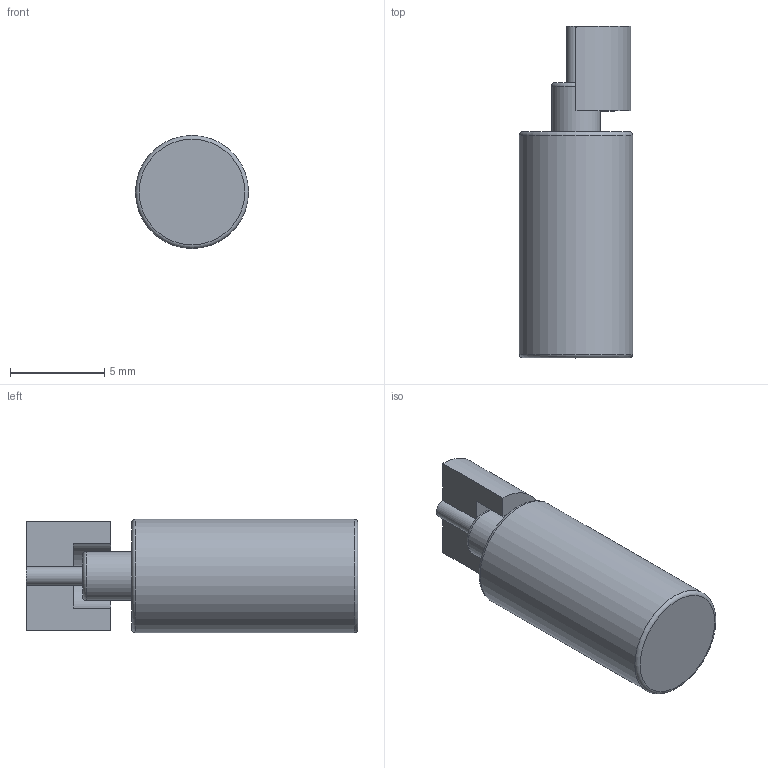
import cadquery as cq

body_diameter = 6.0
body_length = 12.0
body_edge_radius = 0.2

boss_diameter = 2.6
boss_length = 2.6
boss_edge_radius = 0.2

shaft_diameter = 1.0
overall_length = 17.6

weight_diameter = 5.8
weight_length = 4.5
recess_diameter = 3.4
recess_depth = 2.0

weight_start = overall_length - weight_length


def cylinder(diameter, start, length):
    """Cylinder on the Y axis from Y = start towards +Y."""
    front_plane = cq.Workplane("XZ", origin=(0, start, 0))
    return front_plane.circle(diameter / 2).extrude(-length)


def motor_body():
    return cylinder(body_diameter, 0, body_length).edges("%CIRCLE").fillet(body_edge_radius)


def bearing_boss():
    boss = cylinder(boss_diameter, body_length, boss_length)
    return boss.faces(">Y").edges().fillet(boss_edge_radius)


def shaft():
    return cylinder(shaft_diameter, body_length, overall_length - body_length)


def eccentric_weight():
    """Half cylinder on the +X side, recessed at the back to clear the boss."""
    half_space = cq.Workplane("XY").box(
        weight_diameter, overall_length, weight_diameter, centered=(False, False, True)
    )
    weight = cylinder(weight_diameter, weight_start, weight_length).intersect(half_space)
    return weight.cut(cylinder(recess_diameter, weight_start, recess_depth))


result = motor_body().union(bearing_boss()).union(shaft()).union(eccentric_weight())